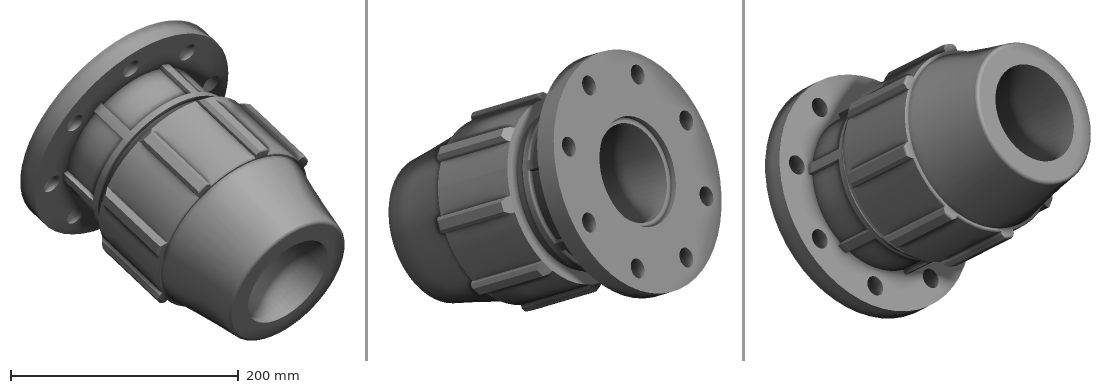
import cadquery as cq
import math

LENGTH = 237.0
FLANGE_THICKNESS = 19.7
COLLAR_START = 59.5
COLLAR_ROUND = 2.0
COLLAR_END = 66.5
NUT_START = 78.0
NUT_END = 161.2
NUT_END_CHAMFER = 1.0
TIP_ROUND = 3.5

FLANGE_RADIUS = 220.0 / 2
NECK_RADIUS = 144.8 / 2
COLLAR_RADIUS = 153.8 / 2
NUT_RADIUS = 84.4
CONE_BASE_RADIUS = 81.3
CONE_TIP_RADIUS = 66.4
CONE_SAG = 0.7

BORE_RADIUS = 90 / 2
RECESS_RADIUS = 100.0 / 2
RECESS_DEPTH = 6.2

BOLT_COUNT = 8
BOLT_DIAMETER = 18.0
BOLT_CIRCLE_RADIUS = 90.0

RIB_COUNT = 6
RIB_WIDTH = 9.5

RIDGE_COUNT = 8
RIDGE_WIDTH = 15.0
RIDGE_TOP_WIDTH = 9.0
RIDGE_SHOULDER_RADIUS = 87.0
RIDGE_TOP_RADIUS = 90.8
RIDGE_END_ROUND = 2.4
OVERLAP = 4.7


def round_middle(centre_x, centre_radius, round_radius, direction):
    """Middle point of a quarter round on an outer edge; direction is +1 toward +X or -1 toward -X."""
    diagonal = round_radius * math.sqrt(0.5)
    return (centre_x + direction * diagonal, centre_radius + diagonal)


def turned_body():
    """Flange, neck, collar, nut and tapered nose as one revolved solid."""
    cone_end = LENGTH - TIP_ROUND
    cone_middle = ((NUT_END + cone_end) / 2, (CONE_BASE_RADIUS + CONE_TIP_RADIUS) / 2 - CONE_SAG)
    collar_middle = round_middle(
        COLLAR_START + COLLAR_ROUND, COLLAR_RADIUS - COLLAR_ROUND, COLLAR_ROUND, -1
    )
    tip_middle = round_middle(cone_end, CONE_TIP_RADIUS - TIP_ROUND, TIP_ROUND, 1)
    profile = (
        cq.Workplane("XY")
        .moveTo(0, RECESS_RADIUS)
        .lineTo(0, FLANGE_RADIUS)
        .lineTo(FLANGE_THICKNESS, FLANGE_RADIUS)
        .lineTo(FLANGE_THICKNESS, NECK_RADIUS)
        .lineTo(COLLAR_START, NECK_RADIUS)
        .lineTo(COLLAR_START, COLLAR_RADIUS - COLLAR_ROUND)
        .threePointArc(collar_middle, (COLLAR_START + COLLAR_ROUND, COLLAR_RADIUS))
        .lineTo(COLLAR_END, COLLAR_RADIUS)
        .lineTo(COLLAR_END, NECK_RADIUS)
        .lineTo(NUT_START, NECK_RADIUS)
        .lineTo(NUT_START, NUT_RADIUS)
        .lineTo(NUT_END - NUT_END_CHAMFER, NUT_RADIUS)
        .lineTo(NUT_END, NUT_RADIUS - NUT_END_CHAMFER)
        .lineTo(NUT_END, CONE_BASE_RADIUS)
        .threePointArc(cone_middle, (cone_end, CONE_TIP_RADIUS))
        .threePointArc(tip_middle, (LENGTH, CONE_TIP_RADIUS - TIP_ROUND))
        .lineTo(LENGTH, BORE_RADIUS)
        .lineTo(RECESS_DEPTH, BORE_RADIUS)
        .lineTo(RECESS_DEPTH, RECESS_RADIUS)
        .close()
    )
    return profile.revolve(360, (0, 0, 0), (1, 0, 0))


def around_axis(shape, count, first_angle=0):
    """Copies of a shape spaced evenly around the X axis."""
    angles = [first_angle + i * 360 / count for i in range(count)]
    return [shape.rotate((0, 0, 0), (1, 0, 0), angle) for angle in angles]


def bolt_hole():
    """Through hole in the flange on the +Y side."""
    return (
        cq.Workplane("YZ")
        .center(BOLT_CIRCLE_RADIUS, 0)
        .circle(BOLT_DIAMETER / 2)
        .extrude(FLANGE_THICKNESS)
    )


def neck_rib():
    """Bar on the +Y side from the flange through the collar, its top flush with the collar."""
    bar_length = COLLAR_END - FLANGE_THICKNESS
    root = NECK_RADIUS - OVERLAP
    bar = cq.Workplane("XY").box(bar_length, COLLAR_RADIUS, RIB_WIDTH, centered=(False, False, True))
    envelope = cq.Workplane("YZ").circle(COLLAR_RADIUS).extrude(bar_length)
    return bar.translate((0, root, 0)).intersect(envelope).translate((FLANGE_THICKNESS, 0, 0))


def grip_ridge():
    """Bar on the +Y side of the nut with bevelled flanks, a sloped start and a rounded end."""
    root = NUT_RADIUS - OVERLAP
    section = (
        cq.Workplane("YZ", origin=(NUT_START, 0, 0))
        .moveTo(root, -RIDGE_WIDTH / 2)
        .lineTo(RIDGE_SHOULDER_RADIUS, -RIDGE_WIDTH / 2)
        .lineTo(RIDGE_TOP_RADIUS, -RIDGE_TOP_WIDTH / 2)
        .lineTo(RIDGE_TOP_RADIUS, RIDGE_TOP_WIDTH / 2)
        .lineTo(RIDGE_SHOULDER_RADIUS, RIDGE_WIDTH / 2)
        .lineTo(root, RIDGE_WIDTH / 2)
        .close()
        .extrude(NUT_END - NUT_START)
    )
    rise = RIDGE_TOP_RADIUS - NUT_RADIUS
    end_middle = round_middle(
        NUT_END - RIDGE_END_ROUND, RIDGE_TOP_RADIUS - RIDGE_END_ROUND, RIDGE_END_ROUND, 1
    )
    side = (
        cq.Workplane("XY")
        .moveTo(NUT_START, root)
        .lineTo(NUT_START, NUT_RADIUS)
        .lineTo(NUT_START + rise, RIDGE_TOP_RADIUS)
        .lineTo(NUT_END - RIDGE_END_ROUND, RIDGE_TOP_RADIUS)
        .threePointArc(end_middle, (NUT_END, RIDGE_TOP_RADIUS - RIDGE_END_ROUND))
        .lineTo(NUT_END, root)
        .close()
        .extrude(RIDGE_WIDTH, both=True)
    )
    return section.intersect(side)


ribs = around_axis(neck_rib(), RIB_COUNT)
ridges = around_axis(grip_ridge(), RIDGE_COUNT, first_angle=180 / RIDGE_COUNT)
bolt_holes = around_axis(bolt_hole(), BOLT_COUNT)

result = turned_body()
for bar in ribs + ridges:
    result = result.union(bar)
for hole in bolt_holes:
    result = result.cut(hole)
result = result.clean()